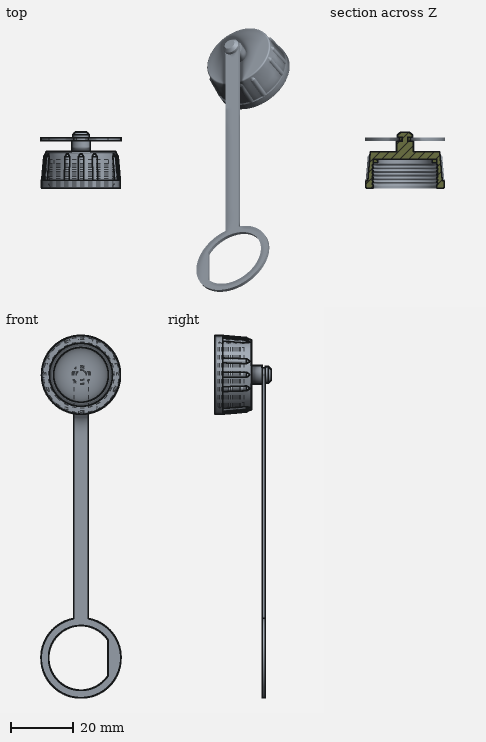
import cadquery as cq
import math


CAP_RADIUS = 12.7
GRIP_RADIUS = 12.1
GRIP_END_RADIUS = 11.3
CAP_LENGTH = 11.8
BAND_WIDTH = 2.5
MOUTH_FILLET = 0.41
END_FILLET = 0.5
BORE_RADIUS = 10.1
BORE_DEPTH = 9.3

THREAD_PITCH = 1.2
THREAD_COUNT = 6
THREAD_START = 0.9
THREAD_DEPTH = 0.5

RIB_RADIUS = 0.9
RIB_HEIGHT = 0.52
RIB_TIP_RADIUS = 0.3
RIB_TIP_LENGTH = 1.2
RIB_END = 11.3
RIB_GROUPS = 4
RIBS_PER_GROUP = 3
RIB_STEP_ANGLE = 22.5

STUD_RADIUS = 3.0
STUD_LENGTH = 3.4
NECK_RADIUS = 1.5
HEAD_RADIUS = 2.7
HEAD_LENGTH = 1.9
HEAD_CHAMFER = 0.9

GASKET_INNER_DIAMETER = 17.5
GASKET_THICKNESS = 1.2

TOTAL_HEIGHT = 116.1
STRAP_WIDTH = 4.6
STRAP_THICKNESS = 1.0
RING_DIAMETER = 25.7
RING_HOLE_RADIUS = 10.3
RING_FLAT_DISTANCE = 8.6

RING_RADIUS = RING_DIAMETER / 2
STRAP_FRONT = CAP_LENGTH + STUD_LENGTH
STRAP_BACK = STRAP_FRONT + STRAP_THICKNESS
RING_CENTER_Z = -(TOTAL_HEIGHT - CAP_RADIUS - RING_RADIUS)


def revolve_about_y(profile):
    """Turn a closed (radius, Y) profile fully around the Y axis."""
    return profile.close().revolve(360, (0, 0, 0), (0, 1, 0))


def disc(radius, start, length):
    """Cylinder on the Y axis, from Y = start towards +Y."""
    return cq.Workplane("XZ", origin=(0, start, 0)).circle(radius).extrude(-length)


def make_shell():
    """Tapered cap body with a straight band around its mouth, still solid inside."""
    shell = revolve_about_y(
        cq.Workplane("XY")
        .lineTo(CAP_RADIUS, 0)
        .lineTo(CAP_RADIUS, BAND_WIDTH)
        .lineTo(GRIP_RADIUS, BAND_WIDTH)
        .lineTo(GRIP_END_RADIUS, CAP_LENGTH)
        .lineTo(0, CAP_LENGTH)
    )
    shell = shell.faces("<Y").edges().fillet(MOUTH_FILLET)
    shell = shell.faces(">Y").edges().fillet(END_FILLET)
    return shell.rotate((0, 0, 0), (0, 1, 0), 180 / RIB_GROUPS)


def make_ribs():
    """Pointed round bars partly sunk into the tapered grip, starting inside the mouth band."""
    taper_angle = math.degrees(math.atan((GRIP_RADIUS - GRIP_END_RADIUS) / (CAP_LENGTH - BAND_WIDTH)))
    length = RIB_END - BAND_WIDTH
    bar = (
        revolve_about_y(
            cq.Workplane("XY")
            .moveTo(0, -BAND_WIDTH / 2)
            .lineTo(RIB_RADIUS, -BAND_WIDTH / 2)
            .lineTo(RIB_RADIUS, length - RIB_TIP_LENGTH)
            .lineTo(RIB_TIP_RADIUS, length)
            .lineTo(0, length)
        )
        .rotate((0, 0, 0), (0, 0, 1), taper_angle)
        .translate((GRIP_RADIUS + RIB_HEIGHT - RIB_RADIUS, BAND_WIDTH, 0))
        .cut(disc(2 * CAP_RADIUS, 0, BAND_WIDTH))
    )
    middle = (RIBS_PER_GROUP - 1) / 2
    ribs = []
    for group in range(RIB_GROUPS):
        for place in range(RIBS_PER_GROUP):
            angle = group * 360 / RIB_GROUPS + (place - middle) * RIB_STEP_ANGLE
            ribs.append(bar.rotate((0, 0, 0), (0, 1, 0), angle))
    return ribs


def make_bore():
    """Cutter for the threaded bore: a cylinder with V-shaped rings around it."""
    outline = cq.Workplane("XY").lineTo(BORE_RADIUS, 0).lineTo(BORE_RADIUS, THREAD_START)
    for index in range(THREAD_COUNT):
        start = THREAD_START + index * THREAD_PITCH
        outline = outline.lineTo(BORE_RADIUS + THREAD_DEPTH, start + THREAD_PITCH / 2)
        outline = outline.lineTo(BORE_RADIUS, start + THREAD_PITCH)
    return revolve_about_y(outline.lineTo(BORE_RADIUS, BORE_DEPTH).lineTo(0, BORE_DEPTH))


def make_stud():
    """Stud with a neck for the strap and a chamfered head."""
    post = disc(STUD_RADIUS, CAP_LENGTH, STUD_LENGTH)
    neck = disc(NECK_RADIUS, STRAP_FRONT, STRAP_THICKNESS)
    head = disc(HEAD_RADIUS, STRAP_BACK, HEAD_LENGTH).faces(">Y").chamfer(HEAD_CHAMFER)
    return post.union(neck).union(head)


def make_cap():
    """Ribbed and threaded cap with its stud, as one solid."""
    cap = make_shell()
    for rib in make_ribs():
        cap = cap.union(rib)
    cap = cap.cut(make_bore())
    return cap.union(make_stud())


def make_gasket():
    """Flat sealing ring seated on the bore floor."""
    start = BORE_DEPTH - GASKET_THICKNESS
    ring = disc(BORE_RADIUS, start, GASKET_THICKNESS)
    return ring.cut(disc(GASKET_INNER_DIAMETER / 2, start, GASKET_THICKNESS))


def make_ring_hole():
    """Cutter for the ring hole: a cylinder with its +X side cut off flat."""
    beyond_flat = (
        cq.Workplane("XZ", origin=(0, STRAP_FRONT, 0))
        .center(RING_FLAT_DISTANCE + RING_HOLE_RADIUS, 0)
        .rect(2 * RING_HOLE_RADIUS, 2 * RING_HOLE_RADIUS)
        .extrude(-STRAP_THICKNESS)
    )
    return disc(RING_HOLE_RADIUS, STRAP_FRONT, STRAP_THICKNESS).cut(beyond_flat)


def make_strap():
    """Flat strap: a round eyelet on the stud neck, a straight band and a ring with one flat."""
    to_ring = (0, 0, RING_CENTER_Z)
    band = (
        cq.Workplane("XZ", origin=(0, STRAP_FRONT, 0))
        .center(0, RING_CENTER_Z / 2)
        .rect(STRAP_WIDTH, -RING_CENTER_Z)
        .extrude(-STRAP_THICKNESS)
    )
    eyelet = disc(STRAP_WIDTH / 2, STRAP_FRONT, STRAP_THICKNESS)
    ring = disc(RING_RADIUS, STRAP_FRONT, STRAP_THICKNESS).translate(to_ring)
    neck_hole = disc(NECK_RADIUS, STRAP_FRONT, STRAP_THICKNESS)
    plate = band.union(eyelet).union(ring)
    return plate.cut(make_ring_hole().translate(to_ring)).cut(neck_hole)


cap = make_cap()
gasket = make_gasket()
strap = make_strap()

result = cq.Compound.makeCompound([cap.val(), gasket.val(), strap.val()])